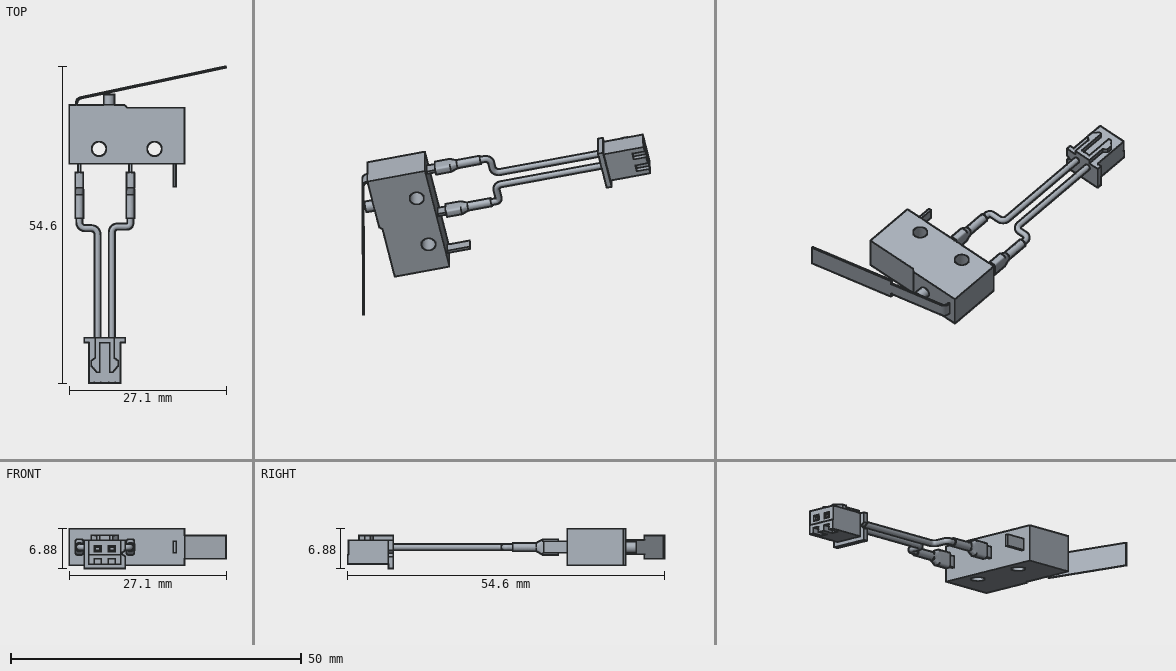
import cadquery as cq
import math


housing_length = 19.9
housing_depth = 10.15
housing_thickness = 6.35
step_drop = 0.5
step_start = 9.5
mount_hole_diameter = 2.45
mount_hole_spacing = 9.55
mount_hole_x = 5.15
mount_hole_y = 2.55

plunger_diameter = 1.9
plunger_x = 6.9
plunger_top = 11.95

lever_thickness = 0.3
lever_angle = 12.0
lever_start_x = 1.15
lever_bend_radius = 1.05
lever_tip_x = 27.05
lever_tip_y = 16.8
lever_root_width = 2.5
lever_blade_width = 4.05
lever_blade_start_x = 11.7

common_x = 1.75
normally_open_x = 10.55
normally_closed_x = 18.2
terminal_thickness = 0.5
terminal_width = 2.0
terminal_length = 4.0

sleeve_start = -1.5
sleeve_taper_start = -4.15
sleeve_taper_end = -5.3
sleeve_end = -9.4
sleeve_flat_thickness = 1.4
sleeve_flat_width = 2.75
sleeve_flat_exponent = 5
section_points = 24
sleeve_diameter = 1.5

connector_x = 6.1
pole_pitch = 2.45
left_pole_x = connector_x - pole_pitch / 2
right_pole_x = connector_x + pole_pitch / 2
flange_back = -29.95
flange_thickness = 0.9
flange_width = 7.1
flange_bottom = -3.7
block_width = 5.45
block_top = 1.2
block_bottom = -2.95
block_end = -37.7
lip_end = -37.8
lip_top = -1.3
socket_width = 1.2
socket_height = 1.0
socket_z = -0.3
socket_depth = 3.3
socket_chamfer = 0.2
key_slot_width = 1.2
key_slot_height = 1.0
key_slot_depth = 2.2
notch_depth = 0.7
notch_half_height = 0.55
notch_z = -1.1

latch_height = 0.8
latch_width = 3.2
latch_gap = 1.75
latch_end = -35.9
barb_start = -33.45
barb_full_start = -33.9
barb_full_end = -34.85
barb_width = 4.6
prong_tip_width = 2.8

wire_diameter = 1.1
wire_start = sleeve_taper_end
wire_bend_radius = 1.0
tight_bend_radius = 0.6
wide_bend_radius = 1.1
common_jog_y = -11.1
open_jog_y = -10.8


def box(x_range, y_range, z_range):
    """Box between two limits along each axis."""
    low, high = zip(x_range, y_range, z_range)
    size = [b - a for a, b in zip(low, high)]
    return cq.Workplane("XY").box(*size, centered=False).translate(low)


def section_at(y, x):
    """XZ sketching plane at depth y, centred on x, facing -Y."""
    return cq.Workplane("XZ", origin=(x, y, 0))


def along(x, start, end):
    """Sketching plane at start, and the distance from there to end toward -Y."""
    return section_at(start, x), start - end


def make_housing():
    lower_back = housing_depth - step_drop
    outline = [
        (0, 0),
        (housing_length, 0),
        (housing_length, lower_back),
        (step_start + step_drop, lower_back),
        (step_start, housing_depth),
        (0, housing_depth),
    ]
    housing = cq.Workplane("XY").polyline(outline).close().extrude(housing_thickness / 2, both=True)
    holes = (
        cq.Workplane("XY")
        .pushPoints([(mount_hole_x, mount_hole_y), (mount_hole_x + mount_hole_spacing, mount_hole_y)])
        .circle(mount_hole_diameter / 2)
        .extrude(housing_thickness, both=True)
    )
    return housing.cut(holes)


def make_plunger():
    plane, length = along(plunger_x, plunger_top, housing_depth)
    return plane.circle(plunger_diameter / 2).extrude(length)


def make_lever():
    angle = math.radians(lever_angle)
    normal = (-math.sin(angle), math.cos(angle))
    lower_tip = (lever_tip_x, lever_tip_y - lever_thickness * normal[1])
    upper_tip = (lever_tip_x + lever_thickness * normal[0], lever_tip_y)
    center_x = lever_start_x + lever_bend_radius
    reach = upper_tip[0] - center_x
    center_y = lever_tip_y - (lever_bend_radius + reach * math.sin(angle)) / math.cos(angle)
    inner_radius = lever_bend_radius - lever_thickness

    def on_bend(radius, degrees):
        turn = math.radians(degrees)
        return (center_x + radius * math.cos(turn), center_y + radius * math.sin(turn))

    bend_end = 90 + lever_angle
    bend_middle = (180 + bend_end) / 2
    strip = (
        cq.Workplane("XY")
        .moveTo(lever_start_x, housing_depth)
        .lineTo(*on_bend(lever_bend_radius, 180))
        .threePointArc(on_bend(lever_bend_radius, bend_middle), on_bend(lever_bend_radius, bend_end))
        .lineTo(*upper_tip)
        .lineTo(*lower_tip)
        .lineTo(*on_bend(inner_radius, bend_end))
        .threePointArc(on_bend(inner_radius, bend_middle), on_bend(inner_radius, 180))
        .lineTo(lever_start_x + lever_thickness, housing_depth)
        .close()
        .extrude(lever_blade_width / 2, both=True)
    )
    for side in (-1, 1):
        edges = sorted((side * lever_root_width / 2, side * lever_blade_width / 2))
        strip = strip.cut(box((0, lever_blade_start_x), (housing_depth, lever_tip_y), edges))
    return strip


def make_terminal(x):
    plane, length = along(x, 0, -terminal_length)
    return plane.rect(terminal_thickness, terminal_width).extrude(length)


def make_switch():
    switch = make_housing().union(make_plunger()).union(make_lever())
    for x in (common_x, normally_open_x, normally_closed_x):
        switch = switch.union(make_terminal(x))
    return switch


def make_wire(start_x, jog_y, end_x, first_radius, second_radius):
    """Round wire from a sleeve to the connector, stepping sideways at jog_y."""
    side = math.copysign(1, end_x - start_x)
    diagonal = math.sqrt(0.5)
    first_center = (start_x + side * first_radius, jog_y + first_radius)
    second_center = (end_x - side * second_radius, jog_y - second_radius)
    first_middle = (
        first_center[0] - side * first_radius * diagonal,
        first_center[1] - first_radius * diagonal,
    )
    second_middle = (
        second_center[0] + side * second_radius * diagonal,
        second_center[1] + second_radius * diagonal,
    )
    path = (
        cq.Workplane("XY")
        .moveTo(start_x, wire_start)
        .lineTo(start_x, first_center[1])
        .threePointArc(first_middle, (first_center[0], jog_y))
        .lineTo(second_center[0], jog_y)
        .threePointArc(second_middle, (end_x, second_center[1]))
        .lineTo(end_x, flange_back)
    )
    return section_at(wire_start, start_x).circle(wire_diameter / 2).sweep(path)


def superellipse(plane, width, height, exponent):
    """Closed smooth curve, from an ellipse at exponent 2 toward a rounded rectangle above it."""
    points = []
    for i in range(section_points):
        turn = math.pi / 2 + 2 * math.pi * i / section_points
        across, up = math.cos(turn), math.sin(turn)
        scale = (abs(across) ** exponent + abs(up) ** exponent) ** (-1 / exponent)
        points.append((width / 2 * scale * across, height / 2 * scale * up))
    return plane.spline(points, periodic=True).close()


def flat_section(plane):
    return superellipse(plane, sleeve_flat_thickness, sleeve_flat_width, sleeve_flat_exponent)


def round_section(plane):
    return superellipse(plane, sleeve_diameter, sleeve_diameter, 2)


def make_sleeve(x):
    """Sleeve flattened over a terminal, tapering to a round end over the wire."""
    plane, flat_length = along(x, sleeve_start, sleeve_taper_start)
    flat = flat_section(plane).extrude(flat_length)
    plane, taper_length = along(x, sleeve_taper_start, sleeve_taper_end)
    taper = round_section(flat_section(plane).workplane(offset=taper_length)).loft()
    plane, round_length = along(x, sleeve_taper_end, sleeve_end)
    tube = round_section(plane).extrude(round_length)
    wire_hole = plane.circle(wire_diameter / 2).extrude(round_length)
    return flat.union(taper).union(tube).cut(wire_hole).cut(make_terminal(x))


def make_latch():
    """U-shaped latch: two prongs with outward barbs, joined at the flange."""
    half = [
        (latch_width / 2, flange_back),
        (latch_width / 2, barb_start),
        (barb_width / 2, barb_full_start),
        (barb_width / 2, barb_full_end),
        (prong_tip_width / 2, latch_end),
        (latch_gap / 2, latch_end),
        (latch_gap / 2, flange_back - flange_thickness),
    ]
    mirrored = [(-x, y) for x, y in reversed(half)]
    outline = [(connector_x + x, y) for x, y in half + mirrored]
    return (
        cq.Workplane("XY", origin=(0, 0, block_top))
        .polyline(outline)
        .close()
        .extrude(latch_height)
    )


def make_socket(pole_x):
    """Blind rectangular contact opening with a chamfered mouth."""
    mouth = cq.Workplane("XZ", origin=(pole_x, block_end, socket_z)).rect(socket_width, socket_height)
    inner_width = socket_width - 2 * socket_chamfer
    inner_height = socket_height - 2 * socket_chamfer
    funnel = mouth.workplane(offset=-socket_chamfer).rect(inner_width, inner_height).loft()
    bore = (
        cq.Workplane("XZ", origin=(pole_x, block_end, socket_z))
        .rect(inner_width, inner_height)
        .extrude(-socket_depth)
    )
    return funnel.union(bore)


def make_key_slot(pole_x):
    return box(
        (pole_x - key_slot_width / 2, pole_x + key_slot_width / 2),
        (lip_end, lip_end + key_slot_depth),
        (block_bottom, block_bottom + key_slot_height),
    )


def make_connector():
    flange_front = flange_back - flange_thickness
    flange_x = (connector_x - flange_width / 2, connector_x + flange_width / 2)
    block_x = (connector_x - block_width / 2, connector_x + block_width / 2)
    connector = (
        box(flange_x, (flange_front, flange_back), (flange_bottom, block_top))
        .union(box(block_x, (block_end, flange_front), (block_bottom, block_top)))
        .union(box(block_x, (lip_end, block_end), (block_bottom, lip_top)))
        .union(make_latch())
    )
    notch = (
        section_at(flange_back, flange_x[1])
        .polyline([
            (0, notch_z + notch_half_height),
            (-notch_depth, notch_z),
            (0, notch_z - notch_half_height),
        ])
        .close()
        .extrude(flange_thickness)
    )
    connector = connector.cut(notch)
    for pole_x in (left_pole_x, right_pole_x):
        connector = connector.cut(make_socket(pole_x)).cut(make_key_slot(pole_x))
    return connector


switch = make_switch()
sleeves = [make_sleeve(x) for x in (common_x, normally_open_x)]
wires = [
    make_wire(common_x, common_jog_y, left_pole_x, wire_bend_radius, wide_bend_radius),
    make_wire(normally_open_x, open_jog_y, right_pole_x, tight_bend_radius, wire_bend_radius),
]
connector = make_connector()

result = cq.Compound.makeCompound(
    [switch.val(), *[s.val() for s in sleeves], *[w.val() for w in wires], connector.val()]
)